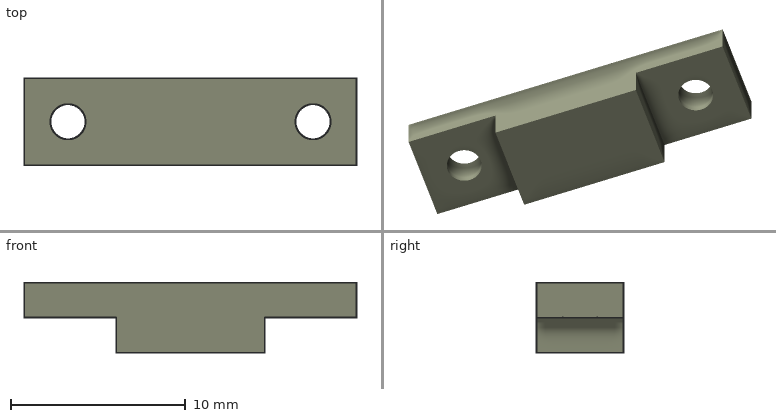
import cadquery as cq

length = 19.0
width = 5.0
height = 4.0
block_length = 8.5
hole_diameter = 2.0
hole_spacing = 14.0

plate_thickness = height / 2
block_height = height - plate_thickness


def make_plate():
    """Top plate, with its underside at Z = 0."""
    return cq.Workplane("XY").box(length, width, plate_thickness, centered=(True, True, False))


def make_block():
    """Central block hanging below the plate."""
    return cq.Workplane("XY").rect(block_length, width).extrude(-block_height)


def make_holes():
    """Two through holes, one near each end of the plate."""
    centers = [(-hole_spacing / 2, 0), (hole_spacing / 2, 0)]
    return cq.Workplane("XY").pushPoints(centers).circle(hole_diameter / 2).extrude(plate_thickness)


result = make_plate().union(make_block()).cut(make_holes())